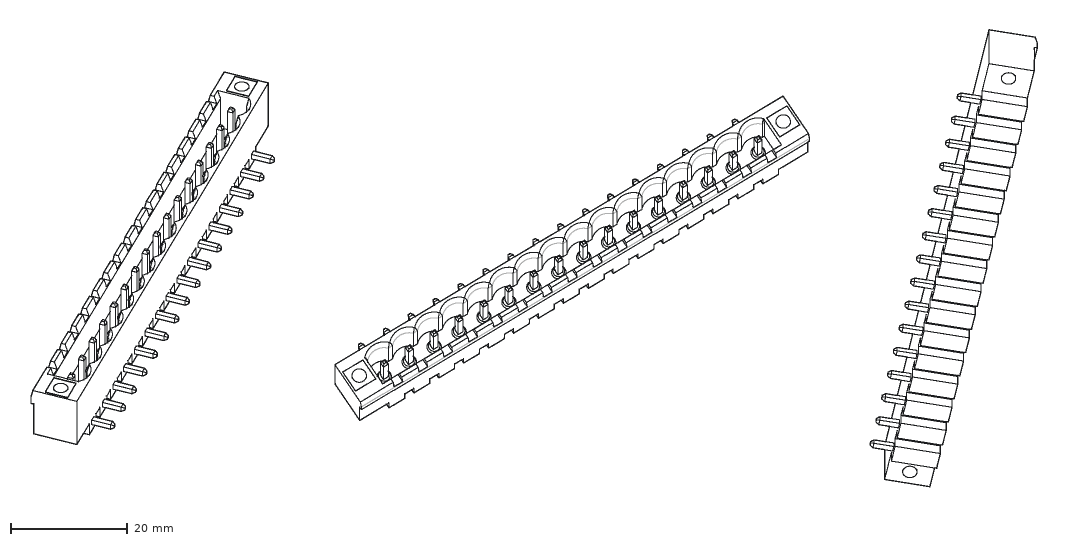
import cadquery as cq

length = 91.4
height = 12.2
back_x = 8.5
pin_tip_x = 12.5

pin_count = 16
row_span = 76.3
pitch = row_span / (pin_count - 1)
contact_x = 4.6
contact_ys = [i * pitch - row_span / 2 for i in range(pin_count)]

front_wall_x = 0.55
lip_bottom_z = 9.1
lip_slope_height = 1.65
lip_top_x = 0.4
body_bottom_z = 2.5

leg_gap = 1.8
leg_gap_height = 2.2
leg_width = pitch - leg_gap

floor_z = 3.9
pocket_front_x = 1.65
pocket_back_x = 6.6
scallop_radius = 2.9
lead_in_depth = 1.65
mouth_front_x = 1.1
mouth_back_x = 6.9
mouth_radius = 3.4
pocket_length = row_span + pitch

notch_width = 1.7
notch_depth = 1.5

pin_size = 1.0
pin_tip_size = 0.5
pin_tip_length = 0.55
solder_pin_z = 1.9
contact_top_z = 11.25
collar_diameter = 2.5
collar_top_diameter = 2.0
collar_height = 0.55

mount_inset = 2.5
mount_y = length / 2 - mount_inset
mount_hole_diameter = 2.5
mount_recess_size = 4.1
mount_recess_depth = 0.1

overlap = 0.9


def prism_along_y(points, y_length):
    """Extrude an XZ outline symmetrically about the XZ plane."""
    return cq.Workplane("XZ").polyline(points).close().extrude(y_length / 2, both=True)


def box(x_start, x_end, y_center, y_width, z_start, z_end):
    return (
        cq.Workplane("XY")
        .box(x_end - x_start, y_width, z_end - z_start, centered=(False, True, False))
        .translate((x_start, y_center, z_start))
    )


def frustum(bottom_radius, top_radius, y_center, z_start, z_end):
    """Cone section on a contact axis."""
    axis_base = cq.Vector(contact_x, y_center, z_start)
    cone = cq.Solid.makeCone(bottom_radius, top_radius, z_end - z_start, axis_base)
    return cq.Workplane(obj=cone)


def make_body():
    outline = [
        (front_wall_x, body_bottom_z),
        (back_x, body_bottom_z),
        (back_x, height),
        (lip_top_x, height),
        (0, height - lip_slope_height),
        (0, lip_bottom_z),
        (front_wall_x, lip_bottom_z),
    ]
    body = prism_along_y(outline, length)
    leg_row_length = row_span + leg_width
    legs = box(front_wall_x, back_x, 0, leg_row_length, 0, body_bottom_z)
    for y in contact_ys[:-1]:
        gap_y = y + pitch / 2
        legs = legs.cut(box(front_wall_x, back_x, gap_y, leg_gap, 0, leg_gap_height))
    return body.union(legs)


def make_pocket():
    """Straight slot with a scallop at each contact, widening to a lead-in at the mouth."""
    lead_in_z = height - lead_in_depth
    outline = [
        (pocket_front_x, floor_z),
        (pocket_back_x, floor_z),
        (pocket_back_x, lead_in_z),
        (mouth_back_x, height),
        (mouth_front_x, height),
        (pocket_front_x, lead_in_z),
    ]
    pocket = prism_along_y(outline, pocket_length)
    scallop_zone = box(contact_x, back_x, 0, pocket_length, floor_z, height)
    for y in contact_ys:
        bore = (
            cq.Workplane("XY", origin=(contact_x, y, floor_z))
            .circle(scallop_radius)
            .extrude(lead_in_z - floor_z)
        )
        mouth = frustum(scallop_radius, mouth_radius, y, lead_in_z, height)
        pocket = pocket.union(bore.union(mouth).intersect(scallop_zone))
    return pocket


def make_pin(plane, origin, pin_length):
    """Square pin along the plane normal, ending in a tapered tip."""
    shank_length = pin_length - pin_tip_length
    start = cq.Workplane(plane, origin=origin)
    shank = start.rect(pin_size, pin_size).extrude(shank_length)
    tip = (
        start.workplane(offset=shank_length)
        .rect(pin_size, pin_size)
        .workplane(offset=pin_tip_length)
        .rect(pin_tip_size, pin_tip_size)
        .loft(combine=False)
    )
    return shank.union(tip)


def make_contact(y):
    """Upright pin with a collar at the pocket floor, and the solder pin behind it."""
    upright_base_z = floor_z - overlap
    solder_base_x = back_x - overlap
    upright = make_pin("XY", (contact_x, y, upright_base_z), contact_top_z - upright_base_z)
    solder = make_pin("YZ", (solder_base_x, y, solder_pin_z), pin_tip_x - solder_base_x)
    collar = frustum(
        collar_diameter / 2, collar_top_diameter / 2, y, floor_z, floor_z + collar_height
    )
    return upright.union(collar), solder


def make_notch(y):
    """Slot through the top of the front wall."""
    return box(0, pocket_front_x, y, notch_width, height - notch_depth, height)


def make_mount(y):
    """Screw hole through the body with a shallow square recess around its mouth."""
    hole = (
        cq.Workplane("XY", origin=(contact_x, y, 0))
        .circle(mount_hole_diameter / 2)
        .extrude(height)
    )
    recess = (
        cq.Workplane("XY", origin=(contact_x, y, height))
        .rect(mount_recess_size, mount_recess_size)
        .extrude(-mount_recess_depth)
    )
    return hole.union(recess)


result = make_body().cut(make_pocket())

for y in (-mount_y, mount_y):
    result = result.cut(make_mount(y))

for y in contact_ys:
    upright, solder = make_contact(y)
    result = result.cut(make_notch(y)).union(upright).union(solder)